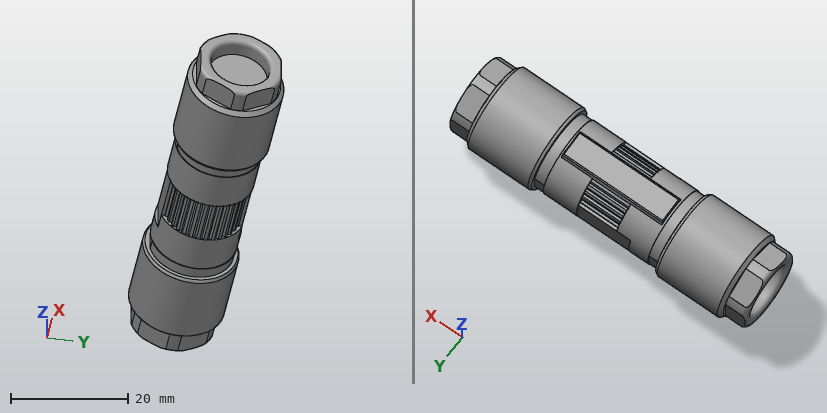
import cadquery as cq
import math

LENGTH = 62.0
SLEEVE_DIAMETER = 16.8

SLEEVE_OUTER_X = 26.9
SLEEVE_INNER_X = 13.0
SLEEVE_OUTER_CHAMFER = 0.75
SLEEVE_INNER_CHAMFER_LENGTH = 0.55
SLEEVE_INNER_CHAMFER_DEPTH = 0.3

NUT_ACROSS_FLATS = 14.0
NUT_CORNER_DIAMETER = 15.1
NUT_EDGE_RADIUS = 0.75
BORE_DIAMETER = 10.2
BORE_DEPTH = 3.05
BORE_MOUTH_RADIUS = 0.8

BODY_LENGTH = 21.95
BODY_RADIUS = 7.55
NECK_RADIUS = 7.45
NECK_ACROSS_FLATS = 14.4

FLAT_Y = 7.0
FLAT_START_X = -7.0

GRIP_HALF_LENGTH = 4.0
GRIP_HALF_WIDTH = 6.95
GRIP_HALF_HEIGHT = 7.55
GROOVE_ROOT_HALF_WIDTH = 6.6
GROOVE_ROOT_HALF_HEIGHT = 7.2
GROOVE_WALL_LENGTH = 0.9
GROOVE_HALF_ANGLE = 45
GROOVE_PITCH_ANGLE = 10
GROOVE_LAST_ANGLE = 50
EDGE_GROOVE_ANGLE = 62
GRIP_FLAT_WIDTH = 5.75

PAD_LENGTH = 21.1
PAD_BASE_WIDTH = 6.1
PAD_TOP_WIDTH = 5.0
PAD_BASE_Z = 6.5
PAD_TOP_Z = 7.8
PAD_CHAMFER = 0.2


def cylinder_x(radius, start_x, end_x):
    return cq.Workplane("YZ", origin=(start_x, 0, 0)).circle(radius).extrude(end_x - start_x)


def box_between(x_range, y_range, z_range):
    sizes = [high - low for low, high in (x_range, y_range, z_range)]
    corner = (x_range[0], y_range[0], z_range[0])
    return cq.Workplane("XY").box(*sizes, centered=False).translate(corner)


def make_sleeve():
    radius = SLEEVE_DIAMETER / 2
    profile = [
        (SLEEVE_INNER_X, 0),
        (SLEEVE_INNER_X, radius - SLEEVE_INNER_CHAMFER_DEPTH),
        (SLEEVE_INNER_X + SLEEVE_INNER_CHAMFER_LENGTH, radius),
        (SLEEVE_OUTER_X - SLEEVE_OUTER_CHAMFER, radius),
        (SLEEVE_OUTER_X, radius - SLEEVE_OUTER_CHAMFER),
        (SLEEVE_OUTER_X, 0),
    ]
    return cq.Workplane("XY").polyline(profile).close().revolve(360, (0, 0, 0), (1, 0, 0))


def make_nut():
    end_x = LENGTH / 2
    nut_length = end_x - SLEEVE_OUTER_X
    across_corners = NUT_ACROSS_FLATS / math.cos(math.pi / 6)
    hexagon = (
        cq.Workplane("YZ", origin=(SLEEVE_OUTER_X, 0, 0))
        .transformed(rotate=(0, 0, 90))
        .polygon(6, across_corners)
        .extrude(nut_length)
    )
    rounding = cylinder_x(NUT_CORNER_DIAMETER / 2, SLEEVE_OUTER_X, end_x)
    rounding = rounding.faces(">X").edges().fillet(NUT_EDGE_RADIUS)
    return hexagon.intersect(rounding)


def cut_bore(end):
    end_x = LENGTH / 2
    end = end.cut(cylinder_x(BORE_DIAMETER / 2, end_x - BORE_DEPTH, end_x))
    mouth = cq.selectors.RadiusNthSelector(0)
    return end.faces(">X").edges(mouth).fillet(BORE_MOUTH_RADIUS)


def make_end():
    neck = cylinder_x(NECK_RADIUS, BODY_LENGTH / 2, SLEEVE_INNER_X).intersect(
        box_between(
            (BODY_LENGTH / 2, SLEEVE_INNER_X),
            (-NECK_ACROSS_FLATS / 2, NECK_ACROSS_FLATS / 2),
            (-NECK_RADIUS, NECK_RADIUS),
        )
    )
    return cut_bore(make_nut().union(make_sleeve())).union(neck)


def make_groove(angle, top_side):
    """V groove at an angle from vertical; its inner wall stands upright where it would overhang."""
    tilt = math.radians(abs(angle))
    half_v = math.radians(GROOVE_HALF_ANGLE)
    root_radius = 1 / math.hypot(
        math.sin(tilt) / GROOVE_ROOT_HALF_WIDTH, math.cos(tilt) / GROOVE_ROOT_HALF_HEIGHT
    )
    root_y = root_radius * math.sin(tilt)
    root_z = root_radius * math.cos(tilt)
    profile = [(root_y, root_z)]
    for wall in (min(tilt - half_v, 0), tilt + half_v):
        rim_y = root_y + GROOVE_WALL_LENGTH * math.sin(wall)
        rim_z = root_z + GROOVE_WALL_LENGTH * math.cos(wall)
        profile.append((rim_y, rim_z))
    y_sign = 1 if angle >= 0 else -1
    z_sign = 1 if top_side else -1
    points = [(y_sign * y, z_sign * z) for y, z in profile]
    section = cq.Workplane("YZ", origin=(-GRIP_HALF_LENGTH, 0, 0)).polyline(points).close()
    return section.extrude(2 * GRIP_HALF_LENGTH)


def make_grip():
    grip = (
        cq.Workplane("YZ", origin=(-GRIP_HALF_LENGTH, 0, 0))
        .ellipse(GRIP_HALF_WIDTH, GRIP_HALF_HEIGHT)
        .extrude(2 * GRIP_HALF_LENGTH)
    )
    groove_angles = [-EDGE_GROOVE_ANGLE, EDGE_GROOVE_ANGLE]
    groove_angles += range(-GROOVE_LAST_ANGLE, GROOVE_LAST_ANGLE + 1, GROOVE_PITCH_ANGLE)
    for angle in groove_angles:
        for top_side in (True, False):
            grip = grip.cut(make_groove(angle, top_side))
    flat_block = box_between(
        (-GRIP_HALF_LENGTH, GRIP_HALF_LENGTH),
        (-FLAT_Y, FLAT_Y),
        (-GRIP_FLAT_WIDTH / 2, GRIP_FLAT_WIDTH / 2),
    )
    return grip.union(flat_block)


def make_body():
    end_x = BODY_LENGTH / 2
    left = cylinder_x(BODY_RADIUS, -end_x, -GRIP_HALF_LENGTH)
    right = cylinder_x(BODY_RADIUS, GRIP_HALF_LENGTH, end_x)
    for near_y, far_y in ((FLAT_Y, BODY_RADIUS), (-BODY_RADIUS, -FLAT_Y)):
        left = left.cut(
            box_between(
                (FLAT_START_X, -GRIP_HALF_LENGTH), (near_y, far_y), (-BODY_RADIUS, BODY_RADIUS)
            )
        )
    return left.union(make_grip()).union(right)


def make_pad():
    half_base = PAD_BASE_WIDTH / 2
    half_top = PAD_TOP_WIDTH / 2
    section = [
        (-half_base, 0),
        (-half_base, PAD_BASE_Z),
        (-half_top, PAD_TOP_Z),
        (half_top, PAD_TOP_Z),
        (half_base, PAD_BASE_Z),
        (half_base, 0),
    ]
    start = cq.Workplane("YZ", origin=(-PAD_LENGTH / 2, 0, 0))
    pad = start.polyline(section).close().extrude(PAD_LENGTH)
    return pad.faces(">Z").chamfer(PAD_CHAMFER)


right_end = make_end()
left_end = right_end.mirror("YZ")
result = make_body().union(make_pad()).union(right_end).union(left_end)